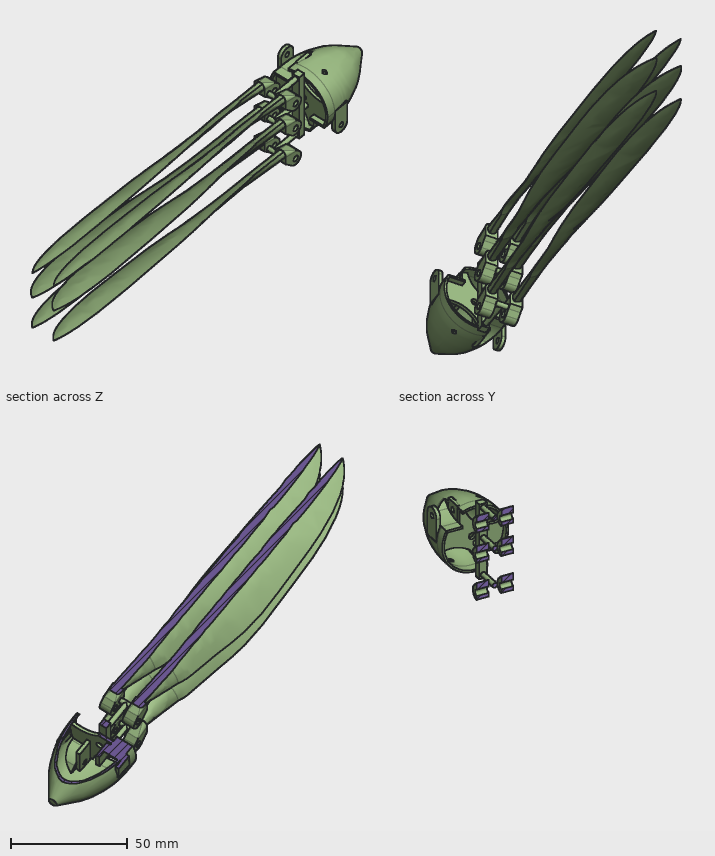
import cadquery as cq
import math


nose_y = 39.3
nose_radius = 2.0
base_radius = 16.2
ogive_points = ((14.3, 17.7), (9.7, 28.5))
nose_slope = (-1, 1.6)
wall = 1.0
cavity_end_y = 32.5
cavity_end_radius = 5.7
plate_front_y = 4.5
plate_back_y = 2.7
shaft_hole_diameter = 3.2
window_radius = 14.3
window_center = (-10.5, -17.7)
screw_hole_diameter = 2.0
screw_hole_x = 6.7
mount_y = 9.0

lug_thickness = 1.9
lug_width = 8.0
lug_round_margin = 0.1
lug_top_z = 15.4
lug_hole_diameter = 2.5
outer_lug_x = -16.2
opening_x = outer_lug_x + lug_thickness
opening_end_x = -6.0
opening_floor_z = 7.8
opening_floor_sag = 0.6
opening_floor_rise = 2.5
opening_ramp = 7.5

strut_x = 1.7
strut_width = 3.8
strut_front_y = -0.6
strut_thickness = 3.4
strut_overhang = 1.9
pin_diameter = 2.5
pin_z = -3.8
arm_diameter = 2.5
arm_rise = 1.3
bar_y = -18.3

hinge_heights = (15.8, 0.8, -17.5)
hinge_y = -14.5
hub_radius = 3.5
knuckle_length = 3.2
neck_start_corner = 0.2
neck_end_corner = 2.5
hub_width = 5.9
hub_spacing = 12.0
hub_hole_diameter = 3.0
hub_end_y = -21.0
hub_end_low = 1.3
hub_end_high = 8.5

overall_length = 210.3
tip_y = nose_y - overall_length
blade_scales = (0.6, 1.0, 0.84)
shank_ends_y = (-35.5, -40.5, -41.9)
root_half_chord = 2.84
root_half_thickness = 2.0
root_pitch = 60
root_rise = 5.78
axis_rise = 7.2
axis_shift_x = 0.32
lead_ratio = 0.51
shank_reach = 10.0
shank_pitch = 55
shank_half_thickness = 1.9
blade_stations = (
    (-62.0, 14.7, 49, 1.7),
    (-80.0, 17.7, 43, 1.58),
    (-98.9, 17.9, 38, 1.5),
    (-117.8, 16.6, 34, 1.37),
    (-136.7, 15.1, 30, 1.15),
    (-155.6, 11.1, 27, 0.8),
    (-166.2, 5.7, 26, 0.5),
    (tip_y, 0.2, 26, 0.1),
)


def cylinder(start, direction, length, diameter):
    return cq.Workplane(cq.Solid.makeCylinder(diameter / 2, length, cq.Vector(*start), cq.Vector(*direction)))


def box(x_range, y_range, z_range):
    sizes = [high - low for low, high in (x_range, y_range, z_range)]
    return cq.Workplane("XY").box(*sizes, centered=False).translate((x_range[0], y_range[0], z_range[0]))


def half_turn(body):
    """Copy of a spinner feature on the opposite side of the Y axis."""
    return body.rotate((0, 0, 0), (0, 1, 0), 180)


def ogive(inset, top_y, top_radius):
    """Solid of revolution under the spinner curve, moved inward by inset."""
    curve = [(radius - inset, y) for radius, y in ogive_points] + [(top_radius, top_y)]
    return (
        cq.Workplane("XY")
        .lineTo(base_radius - inset, 0)
        .lineTo(base_radius - inset, plate_front_y)
        .spline(curve, tangents=[(0, 1), nose_slope], includeCurrent=True)
        .lineTo(0, top_y)
        .close()
        .revolve(360, (0, 0, 0), (0, 1, 0))
    )


def opening_cut():
    """Opening beside the blade mount: flat at the base, then a curved floor and a 45 degree end."""
    floor_end_y = mount_y + lug_width / 2
    floor_end_z = opening_floor_z + opening_floor_rise
    return (
        cq.Workplane("YZ", origin=(opening_x, 0, 0))
        .moveTo(-wall, opening_floor_z)
        .lineTo(plate_front_y, opening_floor_z)
        .threePointArc((mount_y, opening_floor_z + opening_floor_sag), (floor_end_y, floor_end_z))
        .lineTo(floor_end_y + opening_ramp, floor_end_z + opening_ramp)
        .lineTo(-wall, floor_end_z + opening_ramp)
        .close()
        .extrude(opening_end_x - opening_x)
    )


def rim_notch():
    """Notch that carries the opening out through the side of the base rim."""
    return box((-base_radius, opening_x), (-wall, plate_front_y), (opening_floor_z, base_radius))


def lug(x, rounded):
    """Upright mounting plate with a cross hole; its top is either a full round or square."""
    plate = box((x, x + lug_thickness), (mount_y - lug_width / 2, mount_y + lug_width / 2), (0, lug_top_z))
    if rounded:
        plate = plate.edges("|X and >Z").fillet(lug_width / 2 - lug_round_margin)
    center_z = lug_top_z - lug_width / 2
    return plate.cut(cylinder((x, mount_y, center_z), (1, 0, 0), lug_thickness, lug_hole_diameter))


def base_plate():
    thickness = plate_front_y - plate_back_y
    plate = cylinder((0, plate_back_y, 0), (0, 1, 0), thickness, 2 * base_radius - wall)
    plate = plate.cut(cylinder((0, plate_back_y, 0), (0, 1, 0), thickness, shaft_hole_diameter))
    window_start = (window_center[0], plate_back_y, window_center[1])
    window = cylinder(window_start, (0, 1, 0), thickness, 2 * window_radius)
    window = window.intersect(ogive(wall, cavity_end_y, cavity_end_radius))
    return plate.cut(window).cut(half_turn(window))


def spinner():
    shell = ogive(0, nose_y, nose_radius).cut(ogive(wall, cavity_end_y, cavity_end_radius))
    body = shell.union(base_plate())
    opening = opening_cut().union(rim_notch())
    screw_hole = cylinder((screw_hole_x, mount_y, 0), (0, 0, 1), base_radius, screw_hole_diameter)
    floor_shift = (0, wall, -wall)
    opening_floor = opening_cut().translate(floor_shift).intersect(ogive(0, nose_y, nose_radius))
    lugs = lug(outer_lug_x, True).union(lug(opening_end_x, False))
    body = body.union(opening_floor).union(half_turn(opening_floor))
    for cut in (opening, screw_hole):
        body = body.cut(cut).cut(half_turn(cut))
    return body.union(lugs).union(half_turn(lugs))


def strut():
    half_width = strut_width / 2
    back_y = strut_front_y - strut_thickness
    z_range = (hinge_heights[-1] + arm_rise - strut_overhang, hinge_heights[0] + arm_rise + strut_overhang)
    body = box((strut_x - half_width, strut_x + half_width), (back_y, strut_front_y), z_range)
    pin = cylinder((strut_x, back_y, pin_z), (0, 1, 0), plate_front_y - back_y, pin_diameter)
    return body.union(pin)


def arm(hinge_z):
    """Arm running back from the strut and the cross bar that joins a pair of hubs."""
    z = hinge_z + arm_rise
    start_y = strut_front_y - strut_thickness / 2
    rod = cylinder((strut_x, start_y, z), (0, -1, 0), start_y - bar_y, arm_diameter)
    bar = cylinder((strut_x - hub_spacing / 2, bar_y, z), (1, 0, 0), hub_spacing, arm_diameter)
    return rod.union(bar)


def rounded_rectangle(x, low, high, corner_radius):
    """Wire hub_width wide in X, between the (y, z) places low and high, with rounded upper corners."""
    left = x - hub_width / 2
    right = x + hub_width / 2
    corners = [cq.Vector(left, *low), cq.Vector(right, *low), cq.Vector(right, *high), cq.Vector(left, *high)]
    wire = cq.Wire.makePolygon(corners, close=True)
    upper_vertices = [vertex for vertex in wire.Vertices() if vertex.Z > (low[1] + high[1]) / 2]
    return wire.fillet2D(corner_radius, upper_vertices)


def hub(x, hinge_z):
    """Hinge knuckle leaning back at 45 degrees, and a neck blending from it to the blade root."""
    side = hub_radius * math.sqrt(0.5)
    lean = knuckle_length * math.sqrt(0.5)
    low = (hinge_y - side - lean, hinge_z - side + lean)
    high = (hinge_y + side - lean, hinge_z + side + lean)
    knuckle = (
        cq.Workplane("YZ", origin=(x - hub_width / 2, 0, 0))
        .moveTo(hinge_y + side, hinge_z + side)
        .lineTo(*high)
        .lineTo(*low)
        .lineTo(hinge_y - side, hinge_z - side)
        .threePointArc((hinge_y + side, hinge_z - side), (hinge_y + side, hinge_z + side))
        .close()
        .extrude(hub_width)
    )
    neck_start = rounded_rectangle(x, low, high, neck_start_corner)
    end_low = (hub_end_y, hinge_z + hub_end_low)
    end_high = (hub_end_y, hinge_z + hub_end_high)
    neck_end = rounded_rectangle(x, end_low, end_high, neck_end_corner)
    neck = cq.Solid.makeLoft([neck_start, neck_end], True)
    hole = cylinder((x - hub_width / 2, hinge_y, hinge_z), (1, 0, 0), hub_width, hub_hole_diameter)
    return knuckle.union(cq.Workplane(neck)).cut(hole)


def section(x, y, z, half_chord, half_thickness, pitch):
    """Lens-shaped blade section of two arcs in a plane across Y, pitched up towards +X."""
    angle = math.radians(pitch)
    center = cq.Vector(x, y, z)
    chord = cq.Vector(math.cos(angle), 0, math.sin(angle)) * half_chord
    bulge = cq.Vector(-math.sin(angle), 0, math.cos(angle)) * half_thickness
    upper = cq.Edge.makeThreePointArc(center - chord, center + bulge, center + chord)
    lower = cq.Edge.makeThreePointArc(center + chord, center - bulge, center - chord)
    return cq.Wire.assembleEdges([upper, lower])


def blade(x, hinge_z, scale, shank_end_y):
    axis_x = x + axis_shift_x
    axis_z = hinge_z + axis_rise

    def station(y, reach, pitch, half_thickness):
        trail = reach * scale
        offset = trail * (lead_ratio - 1) / 2
        angle = math.radians(pitch)
        center_x = axis_x + offset * math.cos(angle)
        center_z = axis_z + offset * math.sin(angle)
        half_chord = trail * (1 + lead_ratio) / 2
        return section(center_x, y, center_z, half_chord, half_thickness * math.sqrt(scale), pitch)

    root = section(axis_x, hub_end_y, hinge_z + root_rise, root_half_chord, root_half_thickness, root_pitch)
    shank_end = station(shank_end_y, shank_reach, shank_pitch, shank_half_thickness)
    shank = cq.Solid.makeLoft([root, shank_end], True)
    body = cq.Solid.makeLoft([shank_end] + [station(*values) for values in blade_stations], False)
    return cq.Workplane(shank).union(cq.Workplane(body))


result = spinner().union(strut())
for hinge_z, scale, shank_end_y in zip(hinge_heights, blade_scales, shank_ends_y):
    result = result.union(arm(hinge_z))
    for x in (strut_x - hub_spacing / 2, strut_x + hub_spacing / 2):
        result = result.union(hub(x, hinge_z))
        result = result.union(blade(x, hinge_z, scale, shank_end_y))